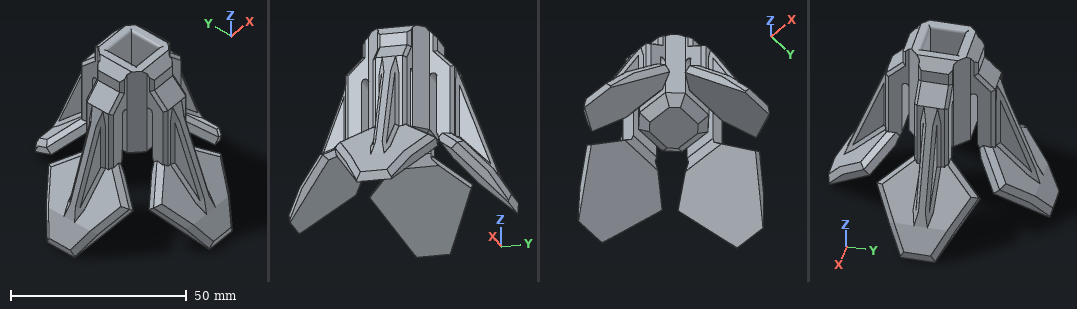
import cadquery as cq
import math

height = 55.2
leg_count = 4

body_half = 9.0
corner_bevel = 4.0
body_bottom = 21.2
bottom_chamfer = 3.0
top_chamfer = 1.0
socket_width = 10.1
socket_depth = 30.0
socket_lip_radius = 1.0

arm_half_width = body_half - corner_bevel
arm_chamfer = 1.0
collar_radius = 11.0
collar_bottom = 48.3
arm_radius = 16.0
slot_top = 41.35

foot_thickness = 4.15
foot_half_width = 15.0
foot_tip_radius = 32.2
foot_nose_radius = 32.8
foot_nose_z = 2.75
foot_bend_radius = 28.6
foot_chamfer = 1.65
heel_chamfer = 2.0

rib_half_width = 2.0
rib_chamfer = 1.0

select_margin = 0.05

shoulder_z = collar_bottom - (arm_radius - collar_radius)
foot_top_sum = foot_tip_radius + foot_thickness * math.sqrt(2)
foot_bend_z = foot_top_sum - foot_bend_radius
heel_z = foot_tip_radius - collar_radius


def make_body():
    body = (
        cq.Workplane("XY", origin=(0, 0, body_bottom))
        .rect(2 * body_half, 2 * body_half)
        .extrude(height - body_bottom)
        .edges("|Z")
        .chamfer(corner_bevel)
        .faces("<Z")
        .chamfer(bottom_chamfer)
    )
    return body.faces(">Z").edges("|X or |Y").chamfer(top_chamfer)


def cut_socket(solid):
    socket = (
        cq.Workplane("XY", origin=(0, 0, height - socket_depth))
        .rect(socket_width, socket_width)
        .extrude(socket_depth)
    )
    solid = solid.cut(socket)
    reach = socket_width / 2 + select_margin
    rim = cq.selectors.BoxSelector(
        (-reach, -reach, height - select_margin), (reach, reach, height + select_margin)
    )
    return solid.edges(rim).fillet(socket_lip_radius)


def radial_prism(profile, half_width):
    """Extrude a (radius, z) outline symmetrically about the leg's middle plane."""
    return cq.Workplane("XZ").polyline(profile).close().extrude(half_width, both=True)


def make_arm():
    """Arm reaching out along +X from the body and down to the foot."""
    top_radius = body_half - top_chamfer
    slot_radius = (collar_radius - body_half) / 2
    slot_spring_z = slot_top - slot_radius
    arm = (
        cq.Workplane("XZ")
        .moveTo(0, height)
        .lineTo(top_radius, height)
        .lineTo(collar_radius, height - (collar_radius - top_radius))
        .lineTo(collar_radius, collar_bottom)
        .lineTo(arm_radius, shoulder_z)
        .lineTo(arm_radius, foot_tip_radius - arm_radius)
        .lineTo(collar_radius, heel_z)
        .lineTo(collar_radius, slot_spring_z)
        .threePointArc((collar_radius - slot_radius, slot_top), (body_half, slot_spring_z))
        .lineTo(0, slot_spring_z)
        .close()
        .extrude(arm_half_width, both=True)
    )

    def on_outer_face(edge):
        middle = edge.Center()
        on_collar = middle.z > slot_top and middle.x > collar_radius - select_margin
        return on_collar or middle.x > arm_radius - select_margin

    return arm.edges("#Y").filter(on_outer_face).chamfer(arm_chamfer)


def make_foot():
    """Pentagonal plate whose tip tapers to a thin edge on the ground."""
    heel_length = (foot_tip_radius - collar_radius) * math.sqrt(2)
    widest = heel_length - (foot_half_width - arm_half_width)
    slope = cq.Plane(origin=(foot_tip_radius, 0, 0), xDir=(-1, 0, 1), normal=(1, 0, 1))
    outline = (
        cq.Workplane(slope)
        .moveTo(0, -arm_half_width)
        .lineTo(widest, -foot_half_width)
        .lineTo(heel_length, -arm_half_width)
        .lineTo(heel_length, arm_half_width)
        .lineTo(widest, foot_half_width)
        .lineTo(0, arm_half_width)
        .close()
        .extrude(foot_thickness)
    )
    profile = [
        (foot_tip_radius, 0),
        (foot_nose_radius, foot_nose_z),
        (foot_bend_radius, foot_bend_z),
        (0, foot_top_sum),
        (0, foot_tip_radius),
    ]
    foot = outline.intersect(radial_prism(profile, foot_half_width))

    def on_upper_rim(edge):
        middle = edge.Center()
        upper_third = foot_tip_radius + (foot_top_sum - foot_tip_radius) * 2 / 3
        return middle.x + middle.z > upper_third and abs(middle.y) > arm_half_width

    return foot.edges().filter(on_upper_rim).chamfer(foot_chamfer)


def cut_heel(leg):
    """Bevel the corner between the arm's inner wall and the foot's underside."""
    step = heel_chamfer / math.sqrt(2)
    corner = [
        (collar_radius, heel_z + heel_chamfer),
        (collar_radius + step, heel_z - step),
        (collar_radius - heel_chamfer, heel_z - step),
        (collar_radius - heel_chamfer, heel_z + heel_chamfer),
    ]
    return leg.cut(radial_prism(corner, foot_half_width))


def planar_solid(faces):
    """Closed solid from flat faces, each given as its loop of corner points."""
    walls = [cq.Face.makeFromWires(cq.Wire.makePolygon(loop, close=True)) for loop in faces]
    return cq.Workplane(cq.Solid.makeSolid(cq.Shell.makeShell(walls)))


def inset_corner(before, corner, after, distance):
    """Point inside a (radius, z) corner, at the given distance from both of its sides."""
    back = (cq.Vector(*before) - cq.Vector(*corner)).normalized()
    ahead = (cq.Vector(*after) - cq.Vector(*corner)).normalized()
    sine = back.cross(ahead).Length
    inside = cq.Vector(*corner) + (back + ahead) * (distance / sine)
    return inside.x, inside.y


def foot_of_perpendicular(point, start, end):
    """Closest (radius, z) point to the given one on the line from start to end."""
    along = (cq.Vector(*end) - cq.Vector(*start)).normalized()
    nearest = cq.Vector(*start) + along * (cq.Vector(*point) - cq.Vector(*start)).dot(along)
    return nearest.x, nearest.y


def make_rib():
    """Triangular web with a bevelled crest and bevelled joints, both fading out at its ends."""
    top = (arm_radius, shoulder_z)
    toe = (foot_bend_radius, foot_bend_z)
    root = (arm_radius, foot_top_sum - arm_radius)

    panel_top = inset_corner(root, top, toe, rib_chamfer)
    panel_toe = inset_corner(top, toe, root, rib_chamfer)
    panel_root = inset_corner(toe, root, top, rib_chamfer)
    crest_top = foot_of_perpendicular(panel_top, top, toe)
    crest_toe = foot_of_perpendicular(panel_toe, top, toe)
    joint_top = foot_of_perpendicular(panel_top, top, root)
    joint_toe = foot_of_perpendicular(panel_toe, root, toe)

    def side(sign):
        def at(point, half_width):
            return cq.Vector(point[0], sign * half_width, point[1])

        crest = rib_half_width - rib_chamfer
        joint = rib_half_width + rib_chamfer
        return {
            "top": at(top, rib_half_width),
            "toe": at(toe, rib_half_width),
            "root": at(root, joint),
            "crest_top": at(crest_top, crest),
            "crest_toe": at(crest_toe, crest),
            "joint_top": at(joint_top, joint),
            "joint_toe": at(joint_toe, joint),
            "panel_top": at(panel_top, rib_half_width),
            "panel_toe": at(panel_toe, rib_half_width),
            "panel_root": at(panel_root, rib_half_width),
        }

    side_faces = [
        ("top", "crest_top", "panel_top", "joint_top"),
        ("toe", "joint_toe", "panel_toe", "crest_toe"),
        ("crest_top", "crest_toe", "panel_toe", "panel_top"),
        ("panel_top", "panel_toe", "panel_root"),
        ("joint_top", "panel_top", "panel_root", "root"),
        ("root", "panel_root", "panel_toe", "joint_toe"),
    ]
    crossing_faces = [
        ("top", "crest_top", "crest_toe", "toe"),
        ("top", "joint_top", "root"),
        ("root", "joint_toe", "toe"),
    ]
    right, left = side(-1), side(1)
    faces = [[half[name] for name in names] for half in (right, left) for names in side_faces]
    for names in crossing_faces:
        faces.append([right[name] for name in names] + [left[name] for name in reversed(names)])
    return planar_solid(faces)


leg = cut_heel(make_arm().union(make_foot())).union(make_rib())
solid = make_body()
for index in range(leg_count):
    solid = solid.union(leg.rotate((0, 0, 0), (0, 0, 1), index * 360 / leg_count))
result = cut_socket(solid)